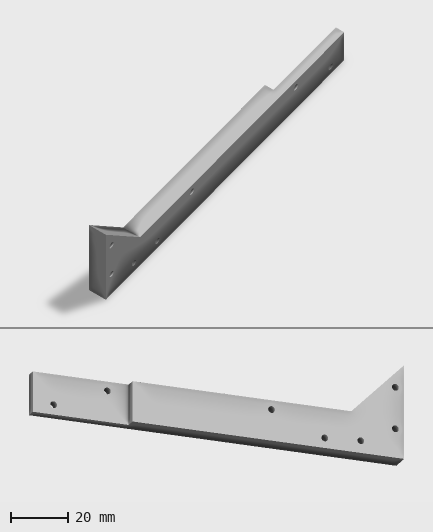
import cadquery as cq

thickness = 7.5
length = 138.1
height = 35.0

beam_height = 15.0
head_length = height - beam_height

lap_length = 36.0
lap_depth = 3.7

hole_diameter = 2.5
low_row_z = 3.7
high_row_z = 11.6
head_column_y = 3.3
hole_places = [
    (head_column_y, 26.2),
    (head_column_y, 10.8),
    (16.3, 4.5),
    (29.8, low_row_z),
    (49.8, high_row_z),
    (110.0, high_row_z),
    (130.2, low_row_z),
]

body = (
    cq.Workplane("YZ")
    .polyline([
        (0, 0),
        (length, 0),
        (length, beam_height),
        (head_length, beam_height),
        (0, height),
    ])
    .close()
    .extrude(thickness)
)

lap_cut = cq.Workplane("XY").box(lap_depth, lap_length, beam_height, centered=False)
lap_cut = lap_cut.translate((0, length - lap_length, 0))

holes = (
    cq.Workplane("YZ")
    .pushPoints(hole_places)
    .circle(hole_diameter / 2)
    .extrude(thickness)
)

result = body.cut(lap_cut).cut(holes)